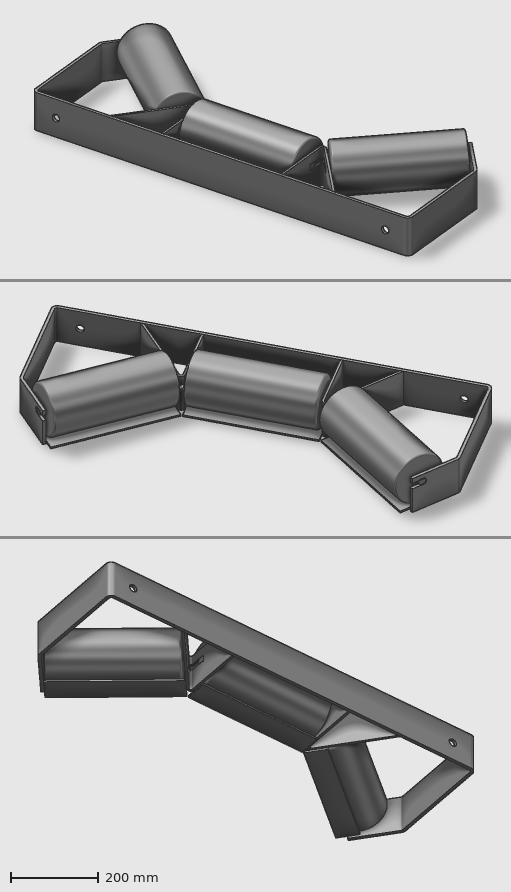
import cadquery as cq
import math

trough_angle = 40.0
tilt_angle = 2.0

trough = math.radians(trough_angle)
tilt = math.radians(tilt_angle)

roller_length = 315.0
roller_diameter = 133.0
roller_edge_radius = 5.0
shaft_diameter = 20.0
shaft_flats = 16.0
shaft_end_gap = 5.5
roller_radius = roller_diameter / 2
support_distance = roller_length / 2 + shaft_end_gap

center_roller_depth = 126.0
center_roller_height = roller_radius
side_roller_offset = 328.5
side_roller_depth = 243.6
side_roller_height = center_roller_height + roller_length / 2 * math.sin(tilt)

frame_width = 1050.0
frame_height = 100.0
frame_thickness = 8.0
frame_bend_radius = 15.0
arm_length = 131.0
mount_hole_diameter = 20.0
mount_hole_spacing = 916.0
mount_hole_height = frame_height / 2

bracket_thickness = 6.0
bracket_bend_radius = 10.5

strip_width = 57.0
strip_thickness = 5.0

shaft_length = 2 * (support_distance + bracket_thickness)

slot_length = 2 * (support_distance + frame_thickness) + 2.0
slot_reach = 100.0


def place_on_side(shape):
    """Move a shape from the origin, lying along X, to the right-hand roller position."""
    tilted = shape.rotate((0, 0, 0), (0, 1, 0), -tilt_angle)
    turned = tilted.rotate((0, 0, 0), (0, 0, 1), trough_angle)
    return turned.translate((side_roller_offset, side_roller_depth, side_roller_height))


def place_in_center(shape):
    return shape.translate((0, center_roller_depth, center_roller_height))


def mirrored(shape):
    return shape.mirror("YZ")


def bent_bar(path, thickness, bend_radius, height):
    """Bar whose outer face follows the path, with its thickness to the left of the path."""
    inner = []
    last = len(path) - 1
    for i, (x, y) in enumerate(path):
        before = path[max(i - 1, 0)]
        after = path[min(i + 1, last)]
        angle_in = math.atan2(y - before[1], x - before[0])
        angle_out = math.atan2(after[1] - y, after[0] - x)
        if i == 0:
            angle_in = angle_out
        if i == last:
            angle_out = angle_in
        half_turn = math.remainder(angle_out - angle_in, math.tau) / 2
        normal = angle_in + half_turn + math.pi / 2
        miter = thickness / math.cos(half_turn)
        inner.append((x + miter * math.cos(normal), y + miter * math.sin(normal)))
    bar = cq.Workplane("XY").polyline(path + inner[::-1]).close().extrude(height)
    for corners, radius in ((path, bend_radius), (inner, bend_radius - thickness)):
        for x, y in corners[1:-1]:
            bar = bar.edges("|Z").edges(cq.NearestToPointSelector((x, y, height / 2))).fillet(radius)
    return bar


def cylinder_along_x(radius, length):
    return cq.Workplane("YZ").workplane(offset=-length / 2).circle(radius).extrude(length)


def flatted_shaft(length):
    """Round bar along X with flats on its top and bottom."""
    flats = cq.Workplane("XY").box(length, shaft_diameter, shaft_flats)
    return cylinder_along_x(shaft_diameter / 2, length).intersect(flats)


def shaft_slot():
    """Cutter for a shaft hole that runs out as an open slot on the +Y side."""
    hole = flatted_shaft(slot_length)
    mouth = cq.Workplane("XY").box(slot_length, slot_reach, shaft_flats, centered=(True, False, True))
    return hole.union(mouth)


def make_roller():
    shell = cylinder_along_x(roller_radius, roller_length)
    shell = shell.faces("<X or >X").edges().fillet(roller_edge_radius)
    return shell.union(flatted_shaft(shaft_length))


def make_strip():
    length = 2 * support_distance
    strip = cq.Workplane("XY").box(length, strip_width, strip_thickness, centered=(True, False, False))
    return strip.translate((0, 0, -roller_radius - strip_thickness))


def plate_depth(x, distance):
    """Y at a given X on the upright plane square to the right roller, at a distance from its middle."""
    run = (x - side_roller_offset) * math.cos(trough)
    return side_roller_depth + (distance - run) / math.sin(trough)


def make_frame():
    half = frame_width / 2
    arm_distance = support_distance + frame_thickness
    side_depth = plate_depth(half, arm_distance)
    arm_end = (half - arm_length * math.sin(trough), side_depth + arm_length * math.cos(trough))
    right_side = [(half, 0), (half, side_depth), arm_end]
    left_side = [(-x, y) for x, y in reversed(right_side)]
    frame = bent_bar(left_side + right_side, frame_thickness, frame_bend_radius, frame_height)
    slot = place_on_side(shaft_slot())
    frame = frame.cut(slot).cut(mirrored(slot))
    holes = (
        cq.Workplane("XZ")
        .pushPoints([(s * mount_hole_spacing / 2, mount_hole_height) for s in (-1, 1)])
        .circle(mount_hole_diameter / 2)
        .extrude(-frame_thickness)
    )
    return frame.cut(holes)


def make_bracket():
    apex = (support_distance, plate_depth(support_distance, -support_distance))
    foot = (support_distance + apex[1] * math.tan(trough), 0)
    path = [foot, apex, (support_distance, 0)]
    bracket = bent_bar(path, bracket_thickness, bracket_bend_radius, frame_height)
    below = cq.Workplane("XY").box(frame_width, 2 * frame_thickness, 3 * frame_height)
    bracket = bracket.cut(below)
    return bracket.cut(place_on_side(shaft_slot())).cut(place_in_center(shaft_slot()))


frame = make_frame()
right_bracket = make_bracket()
brackets = [right_bracket, mirrored(right_bracket)]
right_roller = place_on_side(make_roller())
rollers = [place_in_center(make_roller()), right_roller, mirrored(right_roller)]
strip_shift = (roller_radius + strip_thickness / 2) * math.tan(tilt)
right_strip = place_on_side(make_strip().translate((-strip_shift, 0, 0)))
strips = [place_in_center(make_strip()), right_strip, mirrored(right_strip)]

result = cq.Compound.makeCompound([body.val() for body in [frame, *brackets, *rollers, *strips]])